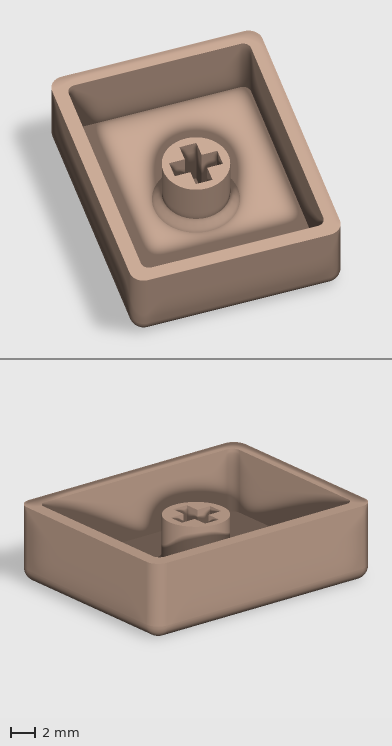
import cadquery as cq

length = 22.82
width = 18.07
height = 6.7
tilt = -0.573
edge_radius = 1.2
wall = 1.2
floor_thickness = 1.2
pocket_corner_radius = 0.7

stem_diameter = 5.6
stem_height = 4.5
stem_top = floor_thickness + stem_height
flare = 0.8

cross_span = 4.15
cross_width = 1.45
socket_depth = stem_height


def make_tray():
    """Rounded open-topped tray, turned slightly about the stem axis."""
    tray = (
        cq.Workplane("XY")
        .box(length, width, height, centered=(True, True, False))
        .edges("|Z")
        .fillet(edge_radius)
        .faces("<Z")
        .edges()
        .fillet(edge_radius)
    )
    pocket = (
        cq.Workplane("XY", origin=(0, 0, floor_thickness))
        .box(length - 2 * wall, width - 2 * wall, height, centered=(True, True, False))
        .edges("|Z")
        .fillet(pocket_corner_radius)
    )
    return tray.cut(pocket).rotate((0, 0, 0), (0, 0, 1), tilt)


def make_stem():
    """Round post standing on the pocket floor, with a conical flare at its foot."""
    stem_radius = stem_diameter / 2
    foot_radius = stem_radius + flare
    half_profile = (
        cq.Workplane("XZ")
        .polyline([
            (0, 0),
            (foot_radius, 0),
            (foot_radius, floor_thickness),
            (stem_radius, floor_thickness + flare),
            (stem_radius, stem_top),
            (0, stem_top),
        ])
        .close()
    )
    return half_profile.revolve(360, (0, 0, 0), (0, 1, 0))


def make_socket():
    """Cross-shaped cutter reaching from the stem top down to the pocket floor."""
    top = cq.Workplane("XY", origin=(0, 0, stem_top))
    along_x = top.rect(cross_span, cross_width).extrude(-socket_depth)
    along_y = top.rect(cross_width, cross_span).extrude(-socket_depth)
    return along_x.union(along_y)


result = make_tray().union(make_stem()).cut(make_socket())